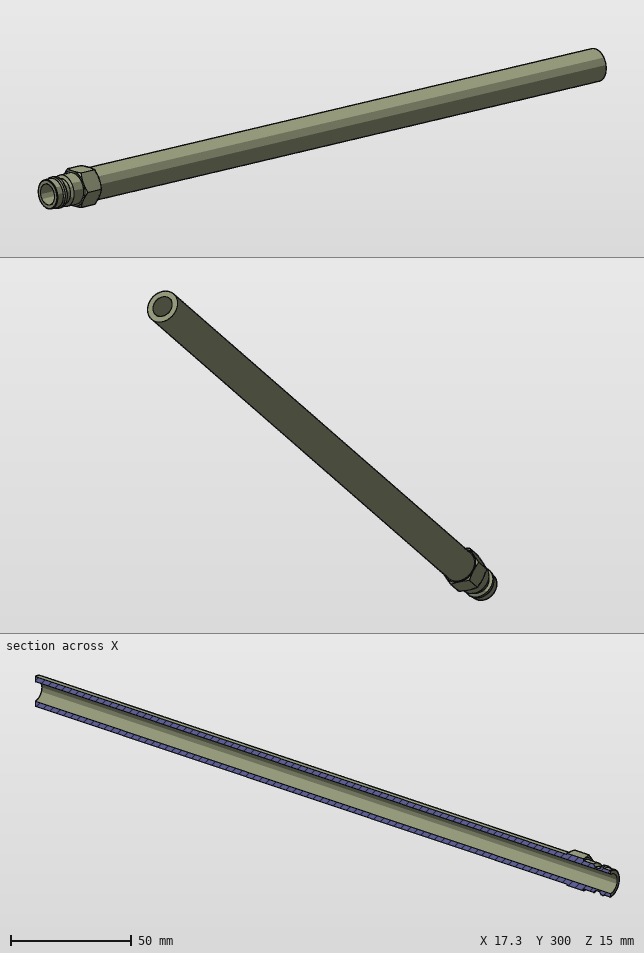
import cadquery as cq
import math

TOTAL_LENGTH = 300.0
TUBE_RADIUS = 7.0
BORE_RADIUS = 4.45

NUT_ACROSS_FLATS = 15.0
NUT_INSCRIBED_RADIUS = NUT_ACROSS_FLATS / 2
NUT_CORNER_RADIUS = NUT_INSCRIBED_RADIUS / math.cos(math.pi / 6)
NUT_START = 14.05
NUT_LENGTH = 8.8
NUT_END = NUT_START + NUT_LENGTH
NUT_CHAMFER_ANGLE = 30.0

TIP_RADIUS = 6.25
TIP_CHAMFER = 0.3
TIP_END = 3.3
RIDGE_RADIUS = 6.7
RIDGE_START = 4.0
RIDGE_END = 5.15
NECK_RADIUS = 5.4
NECK_START = 5.9
NECK_END = 7.95
COLLAR_RADIUS = RIDGE_RADIUS
COLLAR_START = 8.8


def turned(outline):
    """Solid of revolution about Y from (radius, position) points, closed along the axis."""
    first_position = outline[0][1]
    last_position = outline[-1][1]
    points = [(0, first_position)]
    points += [(-radius, position) for radius, position in outline]
    points += [(0, last_position)]
    return cq.Workplane("XY").polyline(points).close().revolve(360, (0, 0, 0), (0, 1, 0))


def tube_and_plug():
    """Tube with the stepped plug, whose ridge and neck have sloping flanks."""
    return turned(
        [
            (TIP_RADIUS - TIP_CHAMFER, 0),
            (TIP_RADIUS, TIP_CHAMFER),
            (TIP_RADIUS, TIP_END),
            (RIDGE_RADIUS, RIDGE_START),
            (RIDGE_RADIUS, RIDGE_END),
            (NECK_RADIUS, NECK_START),
            (NECK_RADIUS, NECK_END),
            (COLLAR_RADIUS, COLLAR_START),
            (COLLAR_RADIUS, NUT_START),
            (TUBE_RADIUS, NUT_START),
            (TUBE_RADIUS, TOTAL_LENGTH),
        ]
    )


def nut():
    """Hexagonal nut with corners on the X axis and both ends chamfered to a cone."""
    prism = (
        cq.Workplane("XZ", origin=(0, NUT_END, 0))
        .polygon(6, 2 * NUT_CORNER_RADIUS)
        .extrude(NUT_LENGTH)
    )
    chamfer_width = NUT_CORNER_RADIUS - NUT_INSCRIBED_RADIUS
    chamfer_depth = chamfer_width * math.tan(math.radians(NUT_CHAMFER_ANGLE))
    envelope = turned(
        [
            (NUT_INSCRIBED_RADIUS, NUT_START),
            (NUT_CORNER_RADIUS, NUT_START + chamfer_depth),
            (NUT_CORNER_RADIUS, NUT_END - chamfer_depth),
            (NUT_INSCRIBED_RADIUS, NUT_END),
        ]
    )
    return prism.intersect(envelope)


def bore():
    """Through bore along the whole part."""
    return turned([(BORE_RADIUS, 0), (BORE_RADIUS, TOTAL_LENGTH)])


result = tube_and_plug().union(nut()).cut(bore())